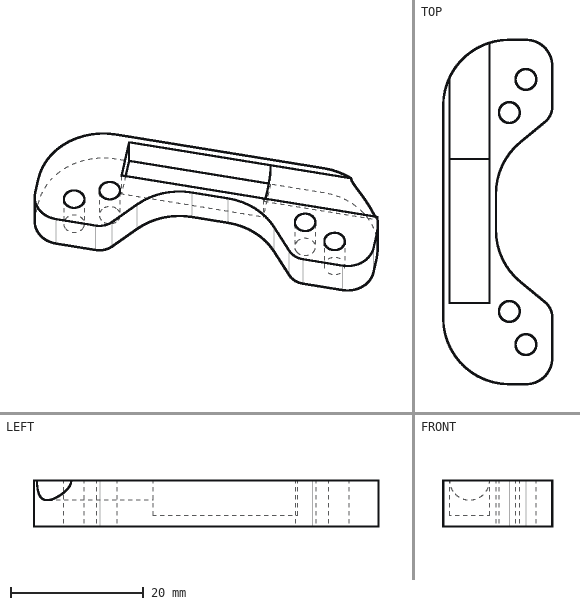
import cadquery as cq

width = 16.5
length = 52.0
height = 7.0
half_length = length / 2

spine_corner_radius = 10.0
ear_corner_radius = 4.0
ear_inner_radius = 3.0
waist_radius = 10.0
ear_shoulder_y = 14.5
waist_shoulder_y = 7.5

wall = 1.0
channel_diameter = 6.0
channel_center_x = wall + channel_diameter / 2
waist_x = channel_diameter + 2 * wall

pocket_floor_z = 1.7
pocket_start_y = 8.0
pocket_length = 21.75

screw_hole_diameter = 3.1
ear_hole_positions = [(12.5, 20.0), (10.0, 15.0)]


def fillet_upright_edges(body, corners, radius):
    """Round the vertical edges at the given plan corners, on both Y sides."""
    for x, y in corners:
        for side in (1, -1):
            nearest = cq.selectors.NearestToPointSelector((x, side * y, height / 2))
            body = body.edges("|Z").edges(nearest).fillet(radius)
    return body


def make_body():
    """C-shaped plate: a straight spine with an ear at each end."""
    body = (
        cq.Workplane("XY")
        .moveTo(0, -half_length)
        .lineTo(width, -half_length)
        .lineTo(width, -ear_shoulder_y)
        .lineTo(waist_x, -waist_shoulder_y)
        .lineTo(waist_x, waist_shoulder_y)
        .lineTo(width, ear_shoulder_y)
        .lineTo(width, half_length)
        .lineTo(0, half_length)
        .close()
        .extrude(height)
    )
    body = fillet_upright_edges(body, [(0, half_length)], spine_corner_radius)
    body = fillet_upright_edges(body, [(width, half_length)], ear_corner_radius)
    body = fillet_upright_edges(body, [(width, ear_shoulder_y)], ear_inner_radius)
    return fillet_upright_edges(body, [(waist_x, waist_shoulder_y)], waist_radius)


def make_groove():
    """Half-round groove in the top face, running from the pocket out of the +Y end."""
    return (
        cq.Workplane("XZ", origin=(channel_center_x, half_length, height))
        .circle(channel_diameter / 2)
        .extrude(half_length - pocket_start_y)
    )


def make_pocket():
    """Rectangular pocket as wide as the groove, open at the top."""
    return cq.Workplane("XY", origin=(wall, pocket_start_y - pocket_length, pocket_floor_z)).box(
        channel_diameter, pocket_length, height - pocket_floor_z, centered=False
    )


def make_screw_holes():
    """Through holes in both ears."""
    positions = [(x, side * y) for x, y in ear_hole_positions for side in (1, -1)]
    return (
        cq.Workplane("XY")
        .pushPoints(positions)
        .circle(screw_hole_diameter / 2)
        .extrude(height)
    )


result = make_body().cut(make_groove()).cut(make_pocket()).cut(make_screw_holes())